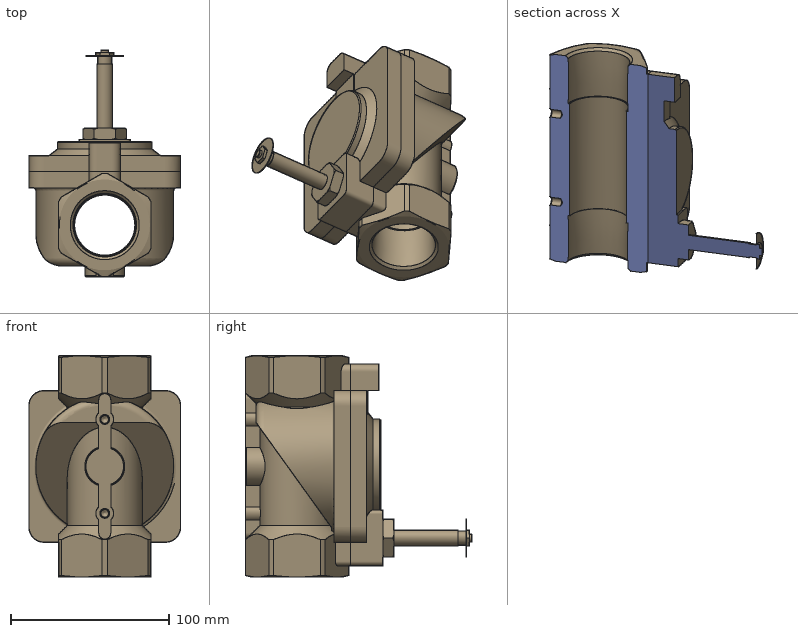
import cadquery as cq
import math


half_length = 70.0
pipe_radius = 23.8
hex_flats = 58.3
hex_corner_radius = 32.7
hex_face_radius = 28.7
end_bevel_angle = 15.0
hex_inner_z = 46.4
bore_diameter = 38.0
socket_radius = 20.1
waist_radius = 19.7
waist_z = 53.1
mouth_radius = 21.8

flange_size = 96.0
flange_corner_radius = 9.6
flange_bottom_y = 23.5
parting_y = 33.9
flange_top_y = 43.9

chamber_radius = 43.6
chamber_bottom_y = -26.0
chamber_edge_radius = 5.2
flange_fillet_radius = 1.7
relief_edge_z = 27.8
relief_angle = 54.3

rib_y = -hex_corner_radius
rib_width = 7.6
rib_length = 92.1
boss_radius = 12.6
boss_chamfer = 0.7
screw_boss_radius = 5.6
screw_spacing = 59.4
screw_hole_diameter = 4.9
countersink_diameter = 6.2
screw_hole_depth = 7.2
drill_point_angle = 118.0

upper_ear_width = 19.8
upper_ear_radius = 5.0
upper_ear_end_z = 64.9
upper_ear_top_y = 51.8
arm_top_y = 44.8
lower_ear_width = 32.5
lower_ear_radius = 2.6
lower_ear_end_z = -62.9
lower_ear_inner_z = -27.7
lower_ear_top_y = 54.2

dome_base_radius = 35.5
dome_radius = 30.0
dome_shoulder_y = 48.1
dome_top_y = 53.0
dome_chamfer = 0.7

stem_z = -45.3
stem_nut_flats = 24.0
stem_nut_face_radius = 12.8
stem_nut_bevel_angle = 30.0
stem_nut_top_y = 61.3
tube_diameter = 10.0
tube_top_y = 101.9
neck_diameter = 9.0
disc_bottom_y = 106.8
disc_diameter = 24.0
disc_thickness = 0.5
cap_nut_flats = 10.0
cap_nut_top_y = 109.0
tip_diameter = 5.0
tip_top_y = 110.8
tip_chamfer = 0.3


def plane_y(y):
    """Work plane square to Y; its local axes are +X and -Z, and it extrudes toward +Y."""
    return cq.Workplane(cq.Plane(origin=(0, y, 0), xDir=(1, 0, 0), normal=(0, 1, 0)))


def rod(radius, y_start, y_end, z=0):
    return plane_y(y_start).center(0, -z).circle(radius).extrude(y_end - y_start)


def block(width, z_low, z_high, y_start, y_end):
    middle_z = (z_low + z_high) / 2
    return plane_y(y_start).center(0, -middle_z).rect(width, z_high - z_low).extrude(y_end - y_start)


def across_corners(flats):
    """Corner-to-corner size of a hexagon."""
    return 2 * flats / math.sqrt(3)


def hex_nut(flats, y_start, y_end, z):
    """Hexagon along Y with two corners pointing along X."""
    return plane_y(y_start).center(0, -z).polygon(6, across_corners(flats)).extrude(y_end - y_start)


def flange(y_start, y_end):
    plate = block(flange_size, -flange_size / 2, flange_size / 2, y_start, y_end)
    return plate.edges("|Y").fillet(flange_corner_radius)


def upper_ear(y_start, y_end):
    ear = block(upper_ear_width, 0, upper_ear_end_z, y_start, y_end)
    ear = ear.edges("|Y and >Z").fillet(upper_ear_radius)
    return ear.intersect(block(upper_ear_width, flange_size / 2, upper_ear_end_z, y_start, y_end))


def lower_ear(inner_z, y_start, y_end):
    ear = block(lower_ear_width, lower_ear_end_z, inner_z, y_start, y_end)
    return ear.edges("|Y").fillet(lower_ear_radius)


def pipe():
    """Round pipe that flares at 45 degrees into a bevelled hexagon at each end."""
    flare = hex_corner_radius - pipe_radius
    bevel = (hex_corner_radius - hex_face_radius) * math.tan(math.radians(end_bevel_angle))
    upper_half = [
        (pipe_radius, hex_inner_z - flare),
        (hex_corner_radius, hex_inner_z),
        (hex_corner_radius, half_length - bevel),
        (hex_face_radius, half_length),
    ]
    lower_half = [(radius, -z) for radius, z in reversed(upper_half)]
    outline = [(0, -half_length)] + lower_half + upper_half + [(0, half_length)]
    turned = cq.Workplane("XZ").polyline(outline).close().revolve(360, (0, 0), (0, 1))
    hexagon = (
        cq.Workplane("XY", origin=(0, 0, -half_length))
        .polygon(6, across_corners(hex_flats))
        .extrude(2 * half_length)
        .rotate((0, 0, 0), (0, 0, 1), 30)
    )
    return turned.intersect(hexagon)


def bore():
    """Through bore with a slightly waisted socket and a chamfered mouth at each end."""
    bore_radius = bore_diameter / 2
    chamfer_z = half_length - (mouth_radius - socket_radius)
    socket_end_z = 2 * waist_z - chamfer_z
    return (
        cq.Workplane("XZ")
        .moveTo(0, -half_length)
        .lineTo(mouth_radius, -half_length)
        .lineTo(socket_radius, -chamfer_z)
        .threePointArc((waist_radius, -waist_z), (socket_radius, -socket_end_z))
        .lineTo(bore_radius, -socket_end_z)
        .lineTo(bore_radius, socket_end_z)
        .lineTo(socket_radius, socket_end_z)
        .threePointArc((waist_radius, waist_z), (socket_radius, chamfer_z))
        .lineTo(mouth_radius, half_length)
        .lineTo(0, half_length)
        .close()
        .revolve(360, (0, 0), (0, 1))
    )


def chamber():
    """Round chamber with a slanted relief that clears the lower half of the pipe."""
    drum = rod(chamber_radius, chamber_bottom_y, flange_bottom_y)
    drum = drum.faces("<Y").edges().fillet(chamber_edge_radius)

    fillet_start_y = flange_bottom_y - flange_fillet_radius
    relief_depth = fillet_start_y - chamber_bottom_y
    relief_drop = relief_depth * math.tan(math.radians(relief_angle))
    relief_outline = [
        (chamber_bottom_y, relief_edge_z),
        (fillet_start_y, relief_edge_z - relief_drop),
        (fillet_start_y, -chamber_radius),
        (chamber_bottom_y, -chamber_radius),
    ]
    relief = cq.Workplane("YZ").polyline(relief_outline).close().extrude(chamber_radius, both=True)

    flange_fillet = (
        cq.Workplane("XY")
        .moveTo(0, fillet_start_y)
        .lineTo(chamber_radius, fillet_start_y)
        .radiusArc((chamber_radius + flange_fillet_radius, flange_bottom_y), flange_fillet_radius)
        .lineTo(0, flange_bottom_y)
        .close()
        .revolve(360, (0, 0), (0, 1))
    )
    return drum.cut(relief).union(flange_fillet)


def mounting_rib():
    """Round-ended rib with a central boss and two screw bosses."""
    rib = plane_y(rib_y).slot2D(rib_length, rib_width, 90).extrude(-rib_y)
    boss = rod(boss_radius, rib_y, 0).faces("<Y").chamfer(boss_chamfer)
    rib = rib.union(boss)
    for side in (-1, 1):
        rib = rib.union(rod(screw_boss_radius, rib_y, 0, side * screw_spacing / 2))
    return rib


def screw_hole():
    """Countersunk blind hole with a drill point, opening at the rib face."""
    hole_radius = screw_hole_diameter / 2
    countersink_radius = countersink_diameter / 2
    floor_y = rib_y + screw_hole_depth
    point_height = hole_radius / math.tan(math.radians(drill_point_angle / 2))
    outline = [
        (0, rib_y),
        (countersink_radius, rib_y),
        (hole_radius, rib_y + countersink_radius - hole_radius),
        (hole_radius, floor_y),
        (0, floor_y + point_height),
    ]
    return cq.Workplane("XY").polyline(outline).close().revolve(360, (0, 0), (0, 1))


def make_housing():
    body = pipe().union(chamber()).union(flange(flange_bottom_y, parting_y))
    body = body.union(mounting_rib())
    body = body.union(upper_ear(flange_bottom_y, parting_y))
    body = body.union(lower_ear(-flange_size / 2 + flange_corner_radius, flange_bottom_y, parting_y))
    body = body.cut(bore())
    for side in (-1, 1):
        body = body.cut(screw_hole().translate((0, 0, side * screw_spacing / 2)))
    return body


def dome():
    outline = [
        (0, flange_top_y),
        (dome_base_radius, flange_top_y),
        (dome_radius, dome_shoulder_y),
        (dome_radius, dome_top_y - dome_chamfer),
        (dome_radius - dome_chamfer, dome_top_y),
        (0, dome_top_y),
    ]
    return cq.Workplane("XY").polyline(outline).close().revolve(360, (0, 0), (0, 1))


def stem_nut():
    """Hexagon nut whose corners are bevelled at both ends."""
    nut = hex_nut(stem_nut_flats, lower_ear_top_y, stem_nut_top_y, stem_z)
    bevel_width = across_corners(stem_nut_flats) / 2 - stem_nut_face_radius
    bevel_height = bevel_width * math.tan(math.radians(stem_nut_bevel_angle))
    envelope = rod(stem_nut_face_radius + bevel_width, lower_ear_top_y, stem_nut_top_y, stem_z)
    envelope = envelope.faces("<Y").chamfer(bevel_height, bevel_width)
    envelope = envelope.faces(">Y").chamfer(bevel_height, bevel_width)
    return nut.intersect(envelope)


def solenoid_stem():
    disc_top_y = disc_bottom_y + disc_thickness
    stem = stem_nut()
    stem = stem.union(rod(tube_diameter / 2, stem_nut_top_y, tube_top_y, stem_z))
    stem = stem.union(rod(neck_diameter / 2, tube_top_y, disc_bottom_y, stem_z))
    stem = stem.union(rod(disc_diameter / 2, disc_bottom_y, disc_top_y, stem_z))
    stem = stem.union(hex_nut(cap_nut_flats, disc_top_y, cap_nut_top_y, stem_z))
    tip = rod(tip_diameter / 2, cap_nut_top_y, tip_top_y, stem_z).faces(">Y").chamfer(tip_chamfer)
    return stem.union(tip)


def make_cover():
    body = flange(parting_y, flange_top_y).union(dome())
    body = body.union(upper_ear(parting_y, upper_ear_top_y))
    body = body.union(block(upper_ear_width, 0, flange_size / 2, flange_top_y, arm_top_y))
    body = body.union(lower_ear(lower_ear_inner_z, parting_y, lower_ear_top_y))
    return body.union(solenoid_stem())


housing = make_housing()
cover = make_cover()
result = cq.Compound.makeCompound([housing.val(), cover.val()])